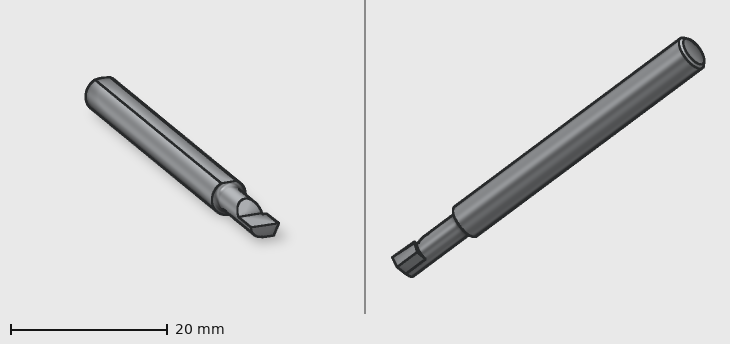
import cadquery as cq
import math

overall_length = 50.8
shank_diameter = 4.75
shank_height = 4.5
shank_length = 40.0
end_chamfer = 0.4
neck_diameter = 3.3
neck_fillet = 0.65
face_start = 46.7
ramp_angle = 45.0
head_start = 47.0
head_depth = 1.7
head_reach = 2.2
side_relief_angle = 1.5
side_clearance_angle = 20.0
end_relief_angle = 2.0
end_clearance_angle = 8.0

shank_radius = shank_diameter / 2
neck_radius = neck_diameter / 2
flat_z = shank_height - shank_radius
cut_margin = 1.0


def tangent(angle):
    return math.tan(math.radians(angle))


def make_shank():
    shank = cq.Workplane("YZ").circle(shank_radius).extrude(shank_length)
    return shank.faces("<X").chamfer(end_chamfer)


def make_flat_cut():
    """Space above the clamping flat, which also trims the top of the neck fillet."""
    cut_width = shank_diameter + cut_margin
    cut_height = shank_radius - flat_z + cut_margin
    return cq.Workplane("XY").box(
        overall_length, cut_width, cut_height, centered=(False, True, False)
    ).translate((0, 0, flat_z))


def make_neck():
    """Round neck with a concave fillet at the shoulder, revolved about the bar axis."""
    fillet_end = shank_length + neck_fillet
    fillet_top = neck_radius + neck_fillet
    fillet_middle = (
        fillet_end - neck_fillet * math.sqrt(0.5),
        fillet_top - neck_fillet * math.sqrt(0.5),
    )
    return (
        cq.Workplane("XZ")
        .moveTo(shank_length, 0)
        .lineTo(shank_length, fillet_top)
        .threePointArc(fillet_middle, (fillet_end, neck_radius))
        .lineTo(overall_length, neck_radius)
        .lineTo(overall_length, 0)
        .close()
        .revolve(360, (0, 0, 0), (1, 0, 0))
    )


def make_head():
    """Block on the +Y side of the neck that carries the cutting corner, undercut below it."""
    head_length = overall_length - head_start
    undercut = head_depth * tangent(side_clearance_angle)
    block = (
        cq.Workplane("YZ", origin=(head_start, 0, 0))
        .polyline([
            (0, 0),
            (head_reach, 0),
            (head_reach - undercut, -head_depth),
            (0, -head_depth),
        ])
        .close()
        .extrude(head_length)
    )
    side_relief_cut = (
        cq.Workplane("XY")
        .polyline([
            (overall_length, head_reach),
            (head_start, head_reach - head_length * tangent(side_relief_angle)),
            (head_start, head_reach),
        ])
        .close()
        .extrude(-head_depth)
    )
    return block.cut(side_relief_cut)


def make_face_cut():
    """Space above the cutting face, with the sloping run-out behind it."""
    cut_height = neck_radius + cut_margin
    cut_end = overall_length + cut_margin
    return (
        cq.Workplane("XZ")
        .polyline([
            (face_start, 0),
            (face_start - cut_height / tangent(ramp_angle), cut_height),
            (cut_end, cut_height),
            (cut_end, 0),
        ])
        .close()
        .extrude(shank_radius, both=True)
    )


def make_end_cut():
    """Space beyond the end face, which slants away from the cutting corner."""
    cut_depth = head_depth + cut_margin
    undercut = cut_depth * tangent(end_clearance_angle)
    cut_end = overall_length + cut_margin
    cut_width = 2 * shank_diameter
    return (
        cq.Workplane("XZ")
        .polyline([
            (overall_length + undercut, cut_depth),
            (overall_length - undercut, -cut_depth),
            (cut_end, -cut_depth),
            (cut_end, cut_depth),
        ])
        .close()
        .extrude(cut_width / 2, both=True)
        .rotate((overall_length, head_reach, 0), (overall_length, head_reach, 1), -end_relief_angle)
    )


tool = make_shank().union(make_neck()).union(make_head())
result = tool.cut(make_flat_cut()).cut(make_face_cut()).cut(make_end_cut())